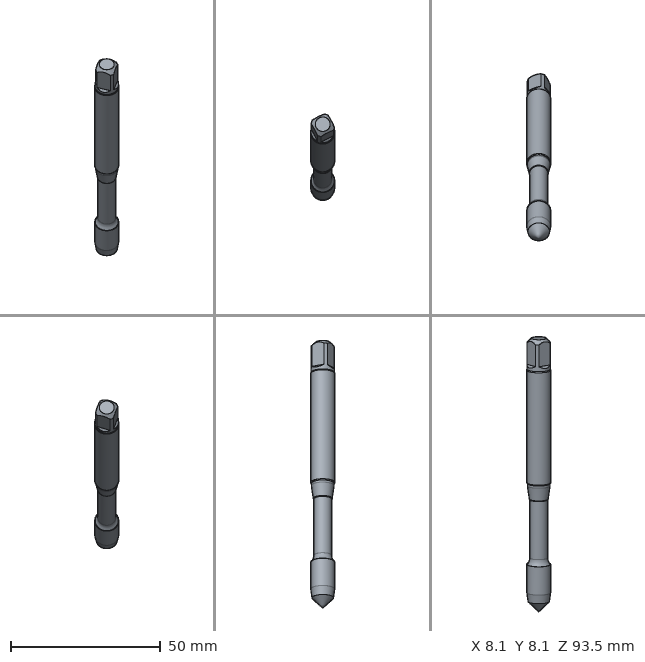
import cadquery as cq
import math

total_length = 93.55
square_bottom = 84.7
shank_top = 82.6
shank_bottom = 44.25
collar_bottom = 43.1
taper_bottom = 38.4
neck_bottom = 18.5
head_top = 16.3
lead_top = 6.6

shank_diameter = 8.1
shoulder_diameter = 7.7
taper_end_diameter = 6.4
neck_diameter = 6.1
head_diameter = 8.0
lead_diameter = 7.2

corner_diameter = 7.9
square_width = 6.4
end_face_diameter = 5.0
corner_chamfer = (corner_diameter - end_face_diameter) / 2

shank_bevel = 0.4
taper_bevel = 0.3


def revolve_profile(profile):
    """Turn a half-section drawn in the XZ plane about the Z axis."""
    return profile.close().revolve(360, (0, 0, 0), (0, 1, 0))


def flat_cutter():
    """Waste beyond one drive flat, with a 45 degree run-out at its lower end."""
    flat = square_width / 2
    depth = shank_diameter - flat
    return (
        cq.Workplane("XZ")
        .moveTo(flat, total_length)
        .lineTo(flat, square_bottom)
        .lineTo(flat + depth, square_bottom - depth)
        .lineTo(flat + depth, total_length)
        .close()
        .extrude(shank_diameter, both=True)
    )


def make_shank():
    """Shank with a square drive on top and a flared neck below."""
    shank_radius = shank_diameter / 2
    shoulder_radius = shoulder_diameter / 2
    corner_radius = corner_diameter / 2
    neck_radius = neck_diameter / 2

    flare_width = shoulder_radius - neck_radius
    flare_height = neck_bottom - head_top
    flare_radius = (flare_width**2 + flare_height**2) / (2 * flare_width)
    half_angle = math.asin(flare_height / flare_radius) / 2
    flare_middle = (
        neck_radius + flare_radius * (1 - math.cos(half_angle)),
        neck_bottom - flare_radius * math.sin(half_angle),
    )

    body = revolve_profile(
        cq.Workplane("XZ")
        .moveTo(0, head_top)
        .lineTo(shoulder_radius, head_top)
        .threePointArc(flare_middle, (neck_radius, neck_bottom))
        .lineTo(neck_radius, taper_bottom)
        .lineTo(taper_end_diameter / 2, taper_bottom + taper_bevel)
        .lineTo(shoulder_radius, collar_bottom)
        .lineTo(shoulder_radius, shank_bottom - shank_bevel)
        .lineTo(shank_radius, shank_bottom)
        .lineTo(shank_radius, shank_top)
        .lineTo(corner_radius, shank_top + shank_bevel)
        .lineTo(corner_radius, total_length - corner_chamfer)
        .lineTo(end_face_diameter / 2, total_length)
        .lineTo(0, total_length)
    )
    for side in range(4):
        body = body.cut(flat_cutter().rotate((0, 0, 0), (0, 0, 1), side * 90))
    return body


def make_head():
    """Cylindrical head with a tapered lead and a 45 degree conical point."""
    lead_radius = lead_diameter / 2
    point_height = lead_radius
    return revolve_profile(
        cq.Workplane("XZ")
        .moveTo(0, 0)
        .lineTo(lead_radius, point_height)
        .lineTo(head_diameter / 2, lead_top)
        .lineTo(head_diameter / 2, head_top)
        .lineTo(0, head_top)
    )


shank = make_shank()
head = make_head()

result = cq.Compound.makeCompound([shank.val(), head.val()])